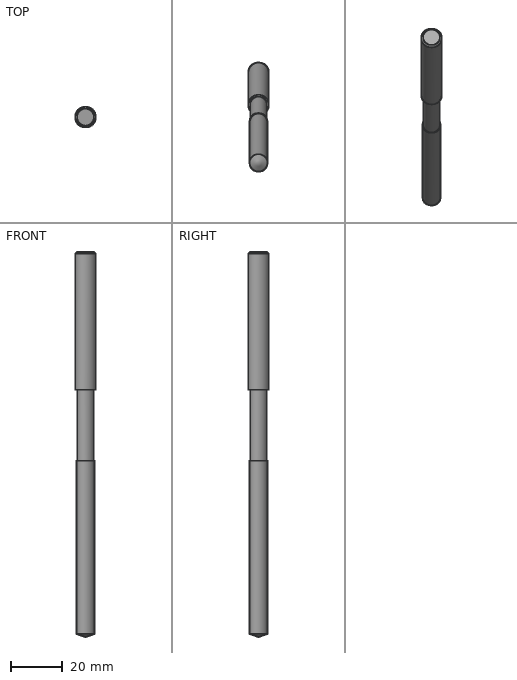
import cadquery as cq
import math

total_length = 148.2
shank_diameter = 8.0
shank_length = 53.0
shank_chamfer = 0.7
neck_diameter = 6.5
cutter_diameter = 7.0
cutter_length = 67.9
point_angle = 140.0

shank_radius = shank_diameter / 2
neck_radius = neck_diameter / 2
cutter_radius = cutter_diameter / 2
shank_bottom = total_length - shank_length
point_height = cutter_radius / math.tan(math.radians(point_angle / 2))


def make_holder():
    """Chamfered shank and the narrower neck below it, turned about Z."""
    return (
        cq.Workplane("XZ")
        .moveTo(0, cutter_length)
        .lineTo(neck_radius, cutter_length)
        .lineTo(neck_radius, shank_bottom)
        .lineTo(shank_radius, shank_bottom)
        .lineTo(shank_radius, total_length - shank_chamfer)
        .lineTo(shank_radius - shank_chamfer, total_length)
        .lineTo(0, total_length)
        .close()
        .revolve(360, (0, 0, 0), (0, 1, 0))
    )


def make_cutter():
    """Cylindrical cutting part with a conical point, turned about Z."""
    return (
        cq.Workplane("XZ")
        .lineTo(cutter_radius, point_height)
        .lineTo(cutter_radius, cutter_length)
        .lineTo(0, cutter_length)
        .close()
        .revolve(360, (0, 0, 0), (0, 1, 0))
    )


holder = make_holder()
cutter = make_cutter()

result = cq.Compound.makeCompound([holder.val(), cutter.val()])